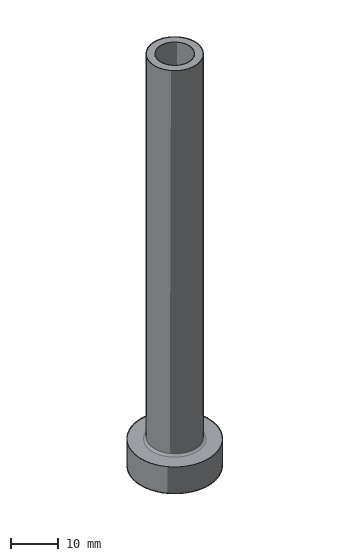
import cadquery as cq

total_height = 107
flange_diameter = 20.0
flange_height = 7.0
tube_diameter = 12.0
bore_diameter = 8.2
root_fillet = 0.5

flange = cq.Workplane("XY").circle(flange_diameter / 2).extrude(flange_height)
tube = cq.Workplane("XY").circle(tube_diameter / 2).extrude(total_height)
body = flange.union(tube)

tube_root = cq.selectors.RadiusNthSelector(0)
body = body.faces("<Z[-2]").edges(tube_root).fillet(root_fillet)

bore = cq.Workplane("XY").circle(bore_diameter / 2).extrude(total_height)
result = body.cut(bore)